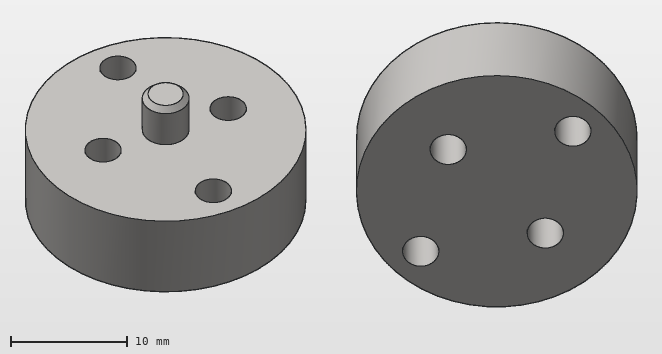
import cadquery as cq

disc_diameter = 24.0
total_height = 12.0
disc_height = 8.0
pin_diameter = 4.0
pin_chamfer = 0.5
hole_diameter = 3.1
hole_offset_x = 9.0
hole_offset_y = 6.0

pin_height = total_height - disc_height

hole_centers = [
    (hole_offset_x, 0),
    (-hole_offset_x, 0),
    (0, hole_offset_y),
    (0, -hole_offset_y),
]

disc = (
    cq.Workplane("XY")
    .circle(disc_diameter / 2)
    .extrude(disc_height)
    .faces(">Z")
    .workplane()
    .pushPoints(hole_centers)
    .hole(hole_diameter)
)

pin = (
    cq.Workplane("XY")
    .workplane(offset=disc_height)
    .circle(pin_diameter / 2)
    .extrude(pin_height)
    .faces(">Z")
    .chamfer(pin_chamfer)
)

result = disc.union(pin)